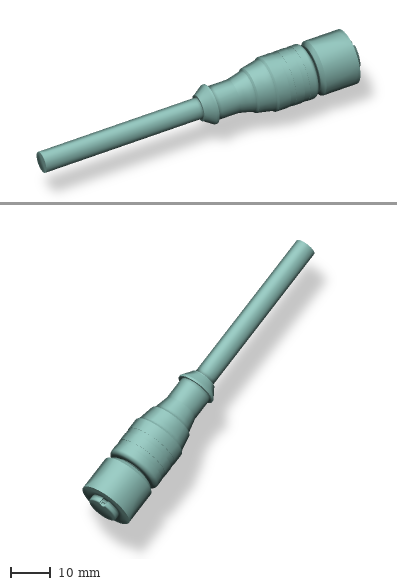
import cadquery as cq

total_length = 87.1
main_radius = 7.2

nose_radius = 4.1
nose_length = 1.65
nose_round = 0.35
keyway_width = 1.6
keyway_depth = 0.6
pocket_width = 1.0
pocket_length = 0.9
pocket_depth = 1.05

nut_end = 12.2
nut_chamfer = 1.05

neck_radius = 4.7

grip_start = 13.0
grip_end = 24.2
grip_round = 1.0
groove_starts = (15.6, 19.5)
groove_width = 1.6
groove_depth = 0.1

step_length = 0.5
upper_taper_end = 29.2
upper_taper_radii = (6.8, 5.9)
lower_taper_end = 33.7
lower_taper_radii = (5.4, 4.4)
sleeve_radius = lower_taper_radii[1]

collar_start = 40.0
collar_rim = 0.5
collar_lip = 0.2
collar_end = 43.3
collar_radius = 5.2
collar_end_radius = 3.5

cable_radius = 2.8


def make_body():
    """Turn the half outline, drawn in X and -Y from the mating end, about the Y axis."""
    outline = (
        cq.Workplane("XY")
        .moveTo(0, 0)
        .lineTo(nose_radius - nose_round, 0)
        .radiusArc((nose_radius, -nose_round), nose_round)
        .lineTo(nose_radius, -nose_length)
        .lineTo(main_radius, -nose_length)
        .lineTo(main_radius, -(nut_end - nut_chamfer))
        .lineTo(main_radius - nut_chamfer, -nut_end)
        .lineTo(neck_radius, -nut_end)
        .lineTo(neck_radius, -grip_start)
        .lineTo(main_radius - grip_round, -grip_start)
        .radiusArc((main_radius, -(grip_start + grip_round)), grip_round)
    )
    for start in groove_starts:
        outline = (
            outline.lineTo(main_radius, -start)
            .lineTo(main_radius - groove_depth, -start)
            .lineTo(main_radius - groove_depth, -(start + groove_width))
            .lineTo(main_radius, -(start + groove_width))
        )
    outline = (
        outline.lineTo(main_radius, -grip_end)
        .lineTo(upper_taper_radii[0], -(grip_end + step_length))
        .lineTo(upper_taper_radii[1], -upper_taper_end)
        .lineTo(lower_taper_radii[0], -(upper_taper_end + step_length))
        .lineTo(sleeve_radius, -lower_taper_end)
        .lineTo(sleeve_radius, -collar_start)
        .lineTo(collar_radius, -collar_start)
        .lineTo(collar_radius, -(collar_start + collar_rim))
        .lineTo(collar_end_radius, -(collar_end - collar_lip))
        .lineTo(collar_end_radius, -collar_end)
        .lineTo(cable_radius, -collar_end)
        .lineTo(cable_radius, -total_length)
        .lineTo(0, -total_length)
    )
    return outline.close().revolve(360, (0, 0, 0), (0, 1, 0))


def make_slot(width, length, depth):
    """Axial slot cut down from the top of the nose, open at the mating end."""
    return (
        cq.Workplane("XY")
        .box(width, length, 2 * depth)
        .translate((0, -length / 2, nose_radius))
    )


keyway = make_slot(keyway_width, nose_length, keyway_depth)
keyway_pocket = make_slot(pocket_width, pocket_length, pocket_depth)
connector = make_body().cut(keyway).cut(keyway_pocket)

result = connector.translate((0, total_length / 2, 0))